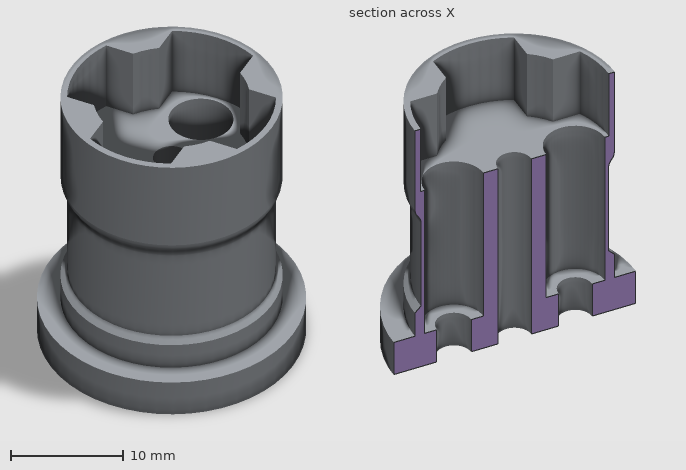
import cadquery as cq

height = 26.7
flange_radius = 24.0 / 2
flange_height = 3.65
body_radius = 19.8 / 2
neck_radius = 18.6 / 2
step = body_radius - neck_radius
collar_chamfer_start = 6.25
neck_top = 16.1
head_bottom = 17.75

socket_radius = neck_radius
socket_depth = 7.0
arm_half_width = 4.0
core_radius = 7.0

hole_spacing = 6.0
hole_diameter = 3.3
rear_hole_diameter = 3.4
counterbore_diameter = 5.8

socket_floor = height - socket_depth
counterbore_floor = flange_height


def make_body():
    """Revolve the outer profile, with a chamfered collar and an S-shaped head transition."""
    transition_middle = (
        (neck_radius + body_radius) / 2,
        (neck_top + head_bottom) / 2,
    )
    return (
        cq.Workplane("XZ")
        .moveTo(0, 0)
        .lineTo(flange_radius, 0)
        .lineTo(flange_radius, flange_height)
        .lineTo(body_radius, flange_height)
        .lineTo(body_radius, collar_chamfer_start)
        .lineTo(neck_radius, collar_chamfer_start + step)
        .lineTo(neck_radius, neck_top)
        .tangentArcPoint(transition_middle, relative=False)
        .tangentArcPoint((body_radius, head_bottom), relative=False)
        .lineTo(body_radius, height)
        .lineTo(0, height)
        .close()
        .revolve(360, (0, 0, 0), (0, 1, 0))
    )


def make_socket():
    """Two crossed arms clipped to the socket circle, joined by a round core."""
    floor = cq.Workplane("XY").workplane(offset=socket_floor)
    arm_width = 2 * arm_half_width
    arm_length = 2 * flange_radius
    arm_x = floor.rect(arm_length, arm_width).extrude(socket_depth)
    arm_y = floor.rect(arm_width, arm_length).extrude(socket_depth)
    core = floor.circle(core_radius).extrude(socket_depth)
    outer = floor.circle(socket_radius).extrude(socket_depth)
    return arm_x.union(arm_y).union(core).intersect(outer)


def make_hole(y, diameter, bottom=0.0):
    """Vertical cylinder at the given Y, reaching up from bottom to the socket floor."""
    return (
        cq.Workplane("XY", origin=(0, y, bottom))
        .circle(diameter / 2)
        .extrude(socket_floor - bottom)
    )


result = make_body().cut(make_socket())

hole_diameters = {
    -hole_spacing: hole_diameter,
    0: hole_diameter,
    hole_spacing: rear_hole_diameter,
}
for y, diameter in hole_diameters.items():
    result = result.cut(make_hole(y, diameter))

for y in (-hole_spacing, hole_spacing):
    result = result.cut(make_hole(y, counterbore_diameter, counterbore_floor))